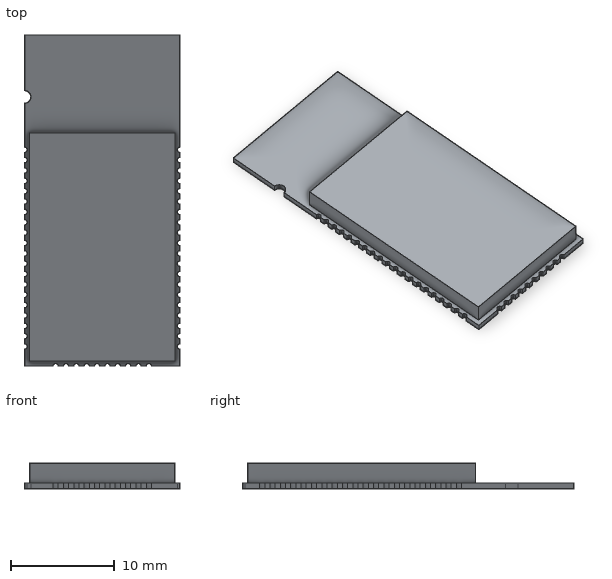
import cadquery as cq

board_width = 15.0
board_length = 32.0
board_thickness = 0.6

total_height = 2.5
can_margin = 0.5
can_width = board_width - 2 * can_margin
can_length = 22.0
can_height = total_height - board_thickness

castellation_radius = 0.25
castellation_pitch = 1.0
side_castellations = 20
end_castellations = 10
first_side_offset = 1.9

notch_radius = 0.6
notch_offset = 26.0

left_edge = -board_width / 2
right_edge = board_width / 2
front_edge = -board_length / 2


def cut_through_board(body, centers, radius):
    """Cut vertical round holes through the board at the given centres."""
    cutters = (
        cq.Workplane("XY")
        .pushPoints(centers)
        .circle(radius)
        .extrude(board_thickness)
    )
    return body.cut(cutters)


def castellation_centers():
    """Centres on the left, right and front edges of the board."""
    centers = []
    for index in range(side_castellations):
        y = front_edge + first_side_offset + index * castellation_pitch
        centers.append((left_edge, y))
        centers.append((right_edge, y))
    row_length = (end_castellations - 1) * castellation_pitch
    for index in range(end_castellations):
        x = index * castellation_pitch - row_length / 2
        centers.append((x, front_edge))
    return centers


def make_board():
    """Flat board with its castellations and edge notch."""
    board = cq.Workplane("XY").box(
        board_width, board_length, board_thickness, centered=(True, True, False)
    )
    board = cut_through_board(board, castellation_centers(), castellation_radius)
    notch_center = (left_edge, front_edge + notch_offset)
    return cut_through_board(board, [notch_center], notch_radius)


def make_can():
    """Plain rectangular can, set in from the front and side edges."""
    can_center_y = front_edge + can_margin + can_length / 2
    return (
        cq.Workplane("XY", origin=(0, can_center_y, board_thickness))
        .rect(can_width, can_length)
        .extrude(can_height)
    )


result = make_board().union(make_can())